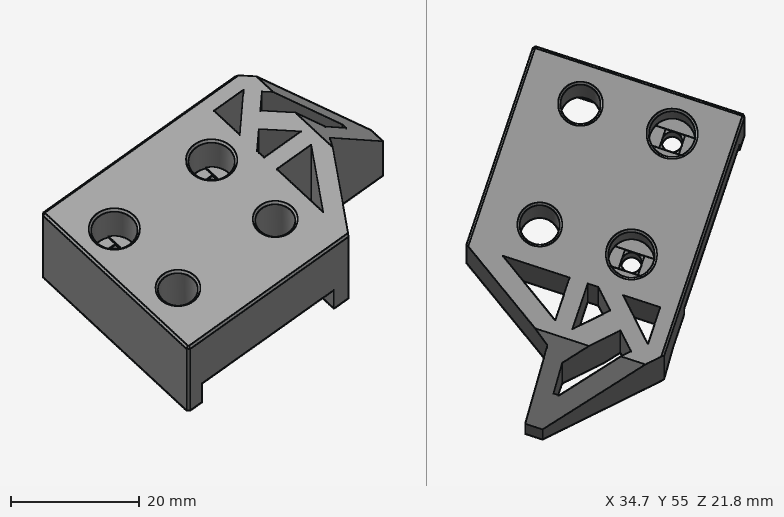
import cadquery as cq

width = 34.7
length = 55.0
height = 21.8
edge_chamfer = 0.4

body_length = 33.1
tail_right = 17.8
tail_tip_width = 2.85
tail_shoulder = 44.0
tail_left = tail_right - tail_tip_width
left_side_length = length - tail_left

top_slope_drop = 12.65
underside = 5.0
foot_front = 40.4
channel_front = 2.85
channel_back = 30.1
channel_top = 9.95

wall = 2.95
diagonal_wall = 2.85
diagonal_step = diagonal_wall * 2 ** 0.5
lattice_front = 33.05
mid_bar_left = tail_right - wall
brace_sum = 42.15
brace_back_sum = brace_sum + diagonal_step
slot_back_offset = left_side_length - diagonal_step
slot_front_offset = 30.8
slot_end = 49.95
small_window_offset = 25.8
slant_window_right = 28.75
slant_window_back = 40.15

hole_rows = (6.5, 26.55)
screw_x = 9.85
access_x = 24.85
screw_diameter = 3.2
head_diameter = 7.2
access_diameter = 6.2
hole_chamfer = 0.4
head_floor = 14.95
bridge_step = 0.3


def upright_prism(points, bottom, top):
    """Extrude a plan outline between two heights."""
    return cq.Workplane("XY").workplane(offset=bottom).polyline(points).close().extrude(top - bottom)


def across_prism(points, x_end):
    """Extrude a (y, z) profile from x = 0 to x_end."""
    return cq.Workplane("YZ").polyline(points).close().extrude(x_end)


def make_body():
    outline = [
        (0, 0),
        (width, 0),
        (width, body_length),
        (tail_right, tail_shoulder),
        (tail_right, length),
        (tail_left, length),
        (0, left_side_length),
    ]
    block = cq.Workplane("XY").box(width, length, height, centered=False)
    block = block.edges("|Z and <Y").chamfer(edge_chamfer)
    block = block.faces(">Z").edges("not >Y").chamfer(edge_chamfer)
    body = block.intersect(upright_prism(outline, 0, height))

    under_body = [
        (0, 0),
        (foot_front, 0),
        (foot_front - underside, underside),
        (0, underside),
    ]
    body = body.cut(across_prism(under_body, width))
    beside_foot = cq.Workplane("XY").box(width - tail_right, length, underside, centered=False)
    body = body.cut(beside_foot.translate((tail_right, 0, 0)))

    top_slope = [
        (length - top_slope_drop, height),
        (length, height),
        (length, height - top_slope_drop),
    ]
    return body.cut(across_prism(top_slope, width))


def make_channel():
    channel = cq.Workplane("XY").box(width, channel_back - channel_front, channel_top, centered=False)
    return channel.translate((0, channel_front, 0))


def diagonal_corner(total, offset):
    """Point where x + y = total meets y - x = offset."""
    return ((total - offset) / 2, (total + offset) / 2)


def make_windows():
    corner_window = [
        (wall, lattice_front),
        (brace_sum - lattice_front, lattice_front),
        (wall, brace_sum - wall),
    ]
    small_window = [
        (brace_back_sum - lattice_front, lattice_front),
        (mid_bar_left, lattice_front),
        (mid_bar_left, mid_bar_left + small_window_offset),
        diagonal_corner(brace_back_sum, small_window_offset),
    ]
    slot = [
        diagonal_corner(brace_back_sum, slot_front_offset),
        (mid_bar_left, mid_bar_left + slot_front_offset),
        (mid_bar_left, slot_end),
        (slot_end - slot_back_offset, slot_end),
        diagonal_corner(brace_back_sum, slot_back_offset),
    ]
    slant_window = [
        (tail_right, lattice_front),
        (slant_window_right, lattice_front),
        (tail_right, slant_window_back),
    ]
    windows = upright_prism(corner_window, 0, height)
    for outline in (small_window, slot, slant_window):
        windows = windows.union(upright_prism(outline, 0, height))
    return windows


def chamfered_bore(x, y, diameter, floor):
    """Round bore from the top face down to floor, with a chamfered mouth."""
    bore = cq.Workplane("XY").workplane(offset=floor).circle(diameter / 2).extrude(height - floor)
    mouth_base = cq.Vector(0, 0, height - hole_chamfer)
    radius = diameter / 2
    mouth = cq.Solid.makeCone(radius, radius + hole_chamfer, hole_chamfer, pnt=mouth_base)
    return bore.union(cq.Workplane(mouth)).translate((x, y, 0))


def screw_hole(x, y):
    """Head bore, then a slot, a square and the screw bore, each below the last."""
    slot_floor = head_floor - bridge_step
    square_floor = slot_floor - bridge_step
    step_depths = cq.Workplane("XY").workplane(offset=slot_floor)
    slot = step_depths.rect(head_diameter, screw_diameter).extrude(bridge_step)
    slot = slot.intersect(step_depths.circle(head_diameter / 2).extrude(bridge_step))
    square_plane = cq.Workplane("XY").workplane(offset=square_floor)
    square = square_plane.rect(screw_diameter, screw_diameter).extrude(bridge_step)
    shank = cq.Workplane("XY").circle(screw_diameter / 2).extrude(square_floor)
    steps = slot.union(square).union(shank).translate((x, y, 0))
    return chamfered_bore(x, y, head_diameter, head_floor).union(steps)


result = make_body().cut(make_channel()).cut(make_windows())
for row_y in hole_rows:
    result = result.cut(screw_hole(screw_x, row_y))
    result = result.cut(chamfered_bore(access_x, row_y, access_diameter, 0))